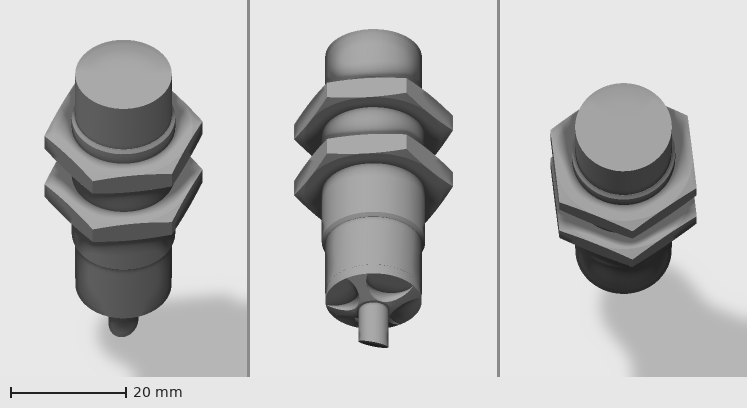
import cadquery as cq
import math

gland_bottom = 8.6
cap_bottom = 10.65
cap_top = 12.5
barrel_bottom = 22.65
barrel_top = 52.6
head_top = 62.6

head_diameter = 16.8
cap_diameter = 16.7
barrel_diameter = 18.0
barrel_end_diameter = 16.9
barrel_bevel_height = 0.6

gland_tip_radius = 3.1
scallop_count = 4
scallop_radius = 4.4
scallop_offset = gland_tip_radius + scallop_radius
indicator_radius = 0.95
indicator_offset = 5.65

cable_diameter = 5.2
cable_cut_angle = 30.0

nut_across_flats = 24.0
nut_height = 4.1
nut_bevel_angle = 15.0
nut_spacing = 11.95
upper_nut_bottom = 45.6
nut_bottoms = [upper_nut_bottom, upper_nut_bottom - nut_spacing]


def make_body():
    """Head, bevelled barrel, rear sleeve and end cap, turned about Z."""
    head_radius = head_diameter / 2
    cap_radius = cap_diameter / 2
    barrel_radius = barrel_diameter / 2
    barrel_end_radius = barrel_end_diameter / 2
    profile = [
        (0, cap_bottom),
        (cap_radius, cap_bottom),
        (cap_radius, cap_top),
        (head_radius, cap_top),
        (head_radius, barrel_bottom),
        (barrel_end_radius, barrel_bottom),
        (barrel_radius, barrel_bottom + barrel_bevel_height),
        (barrel_radius, barrel_top - barrel_bevel_height),
        (barrel_end_radius, barrel_top),
        (head_radius, barrel_top),
        (head_radius, head_top),
        (0, head_top),
    ]
    return cq.Workplane("XZ").polyline(profile).close().revolve(360, (0, 0), (0, 1))


def make_gland():
    """Cone below the end cap, scalloped on each side, with a round indicator on +Y."""
    cone = (
        cq.Workplane("XZ")
        .moveTo(0, gland_bottom)
        .lineTo(gland_tip_radius, gland_bottom)
        .lineTo(cap_diameter / 2, cap_bottom)
        .lineTo(0, cap_bottom)
        .close()
        .revolve(360, (0, 0), (0, 1))
    )
    scallops = (
        cq.Workplane("XY", origin=(0, 0, gland_bottom))
        .polarArray(scallop_offset, 0, 360, scallop_count)
        .circle(scallop_radius)
        .extrude(cap_bottom - gland_bottom)
    )
    indicator = cq.Workplane("XY", origin=(0, indicator_offset, cap_bottom)).sphere(indicator_radius)
    return cone.cut(scallops).union(indicator)


def make_cable():
    """Cable with a slanted end, longest on the -Y side."""
    radius = cable_diameter / 2
    cut_rise = cable_diameter * math.tan(math.radians(cable_cut_angle))
    side_outline = [(-radius, 0), (radius, cut_rise), (radius, cap_bottom), (-radius, cap_bottom)]
    slanted_block = cq.Workplane("YZ").polyline(side_outline).close().extrude(radius, both=True)
    return cq.Workplane("XY").circle(radius).extrude(cap_bottom).intersect(slanted_block)


def make_housing():
    return make_body().union(make_gland()).union(make_cable())


def make_nut(bottom):
    """Hexagon nut with corners on the Y axis, bevelled top and bottom, bored to fit the barrel."""
    corner_radius = nut_across_flats / math.sqrt(3)
    face_radius = nut_across_flats / 2
    bevel_drop = (corner_radius - face_radius) * math.tan(math.radians(nut_bevel_angle))
    hexagon = (
        cq.Workplane("XY", origin=(0, 0, bottom))
        .transformed(rotate=(0, 0, 90))
        .polygon(6, 2 * corner_radius)
        .extrude(nut_height)
    )
    bevel_profile = [
        (0, 0),
        (face_radius, 0),
        (corner_radius, bevel_drop),
        (corner_radius, nut_height - bevel_drop),
        (face_radius, nut_height),
        (0, nut_height),
    ]
    bevel_envelope = (
        cq.Workplane("XZ", origin=(0, 0, bottom))
        .polyline(bevel_profile)
        .close()
        .revolve(360, (0, 0), (0, 1))
    )
    bore = cq.Workplane("XY", origin=(0, 0, bottom)).circle(barrel_diameter / 2).extrude(nut_height)
    return hexagon.intersect(bevel_envelope).cut(bore)


housing = make_housing()
nuts = [make_nut(bottom) for bottom in nut_bottoms]

result = cq.Compound.makeCompound([housing.val(), *[nut.val() for nut in nuts]])